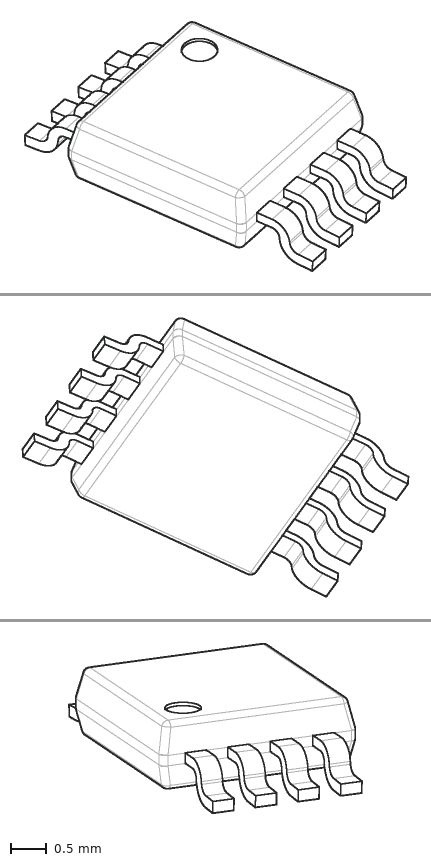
import cadquery as cq
import math


OVERALL_LENGTH = 4.9
STANDOFF = 0.07

HOUSING_SIDE = 3.0
LOWER_HEIGHT = 0.39
UPPER_HEIGHT = 0.455
DRAFT_ANGLE = 12.0
EDGE_RADIUS = 0.1

LEADS_PER_SIDE = 4
LEAD_PITCH = 0.65
LEAD_WIDTH = 0.325
SHOULDER_THICKNESS = 0.15
SHOULDER_LENGTH = 0.255
LEAD_THICKNESS = 0.175
KNEE_OUTER_RADIUS = 0.305
HEEL_INNER_RADIUS = 0.15
SHIN_ANGLE = 81.0
FOOT_ANGLE = 3.0

MARKER_DIAMETER = 0.505
MARKER_INSET = 0.6
MARKER_SUNK_DEPTH = 0.05
MARKER_THICKNESS = 0.05

BAND_BOTTOM = STANDOFF + LOWER_HEIGHT
BAND_TOP = BAND_BOTTOM + SHOULDER_THICKNESS
HOUSING_TOP = BAND_TOP + UPPER_HEIGHT
MARKER_TOP = HOUSING_TOP - MARKER_SUNK_DEPTH
MARKER_BOTTOM = MARKER_TOP - MARKER_THICKNESS
MARKER_CENTER = (MARKER_INSET - HOUSING_SIDE / 2, HOUSING_SIDE / 2 - MARKER_INSET)

TOE_RISE = LEAD_THICKNESS * math.cos(math.radians(FOOT_ANGLE))
TOE_SETBACK = LEAD_THICKNESS * math.sin(math.radians(FOOT_ANGLE))
TOE_UPPER = (OVERALL_LENGTH / 2, TOE_RISE)
TOE_LOWER = (OVERALL_LENGTH / 2 - TOE_SETBACK, 0.0)


def housing_slab(bottom, height, draft=0.0):
    """Square slab of the housing; a negative height extrudes downwards."""
    return cq.Workplane().workplane(offset=bottom).rect(HOUSING_SIDE, HOUSING_SIDE).extrude(height, taper=draft)


def marker_cylinder(bottom, top):
    """Upright cylinder at the pin-1 corner."""
    base = cq.Workplane().workplane(offset=bottom).center(*MARKER_CENTER)
    return base.circle(MARKER_DIAMETER / 2).extrude(top - bottom)


def make_housing():
    """Housing with rounded corners and rims, and a round recess for the marker."""
    band = housing_slab(BAND_BOTTOM, SHOULDER_THICKNESS)
    upper = housing_slab(BAND_TOP, UPPER_HEIGHT, DRAFT_ANGLE)
    lower = housing_slab(BAND_BOTTOM, -LOWER_HEIGHT, DRAFT_ANGLE)
    body = band.union(upper).union(lower)
    body = body.edges("not #Z").fillet(EDGE_RADIUS)
    body = body.faces("<Z or >Z").edges().fillet(EDGE_RADIUS)
    return body.cut(marker_cylinder(MARKER_BOTTOM, HOUSING_TOP))


def make_marker():
    """Pin-1 marker disc lying on the floor of its recess."""
    return marker_cylinder(MARKER_BOTTOM, MARKER_TOP)


def polar_point(center, radius, angle):
    """XZ point at a radius from a center, with the angle in degrees from +X towards +Z."""
    turn = math.radians(angle)
    return (center[0] + radius * math.cos(turn), center[1] + radius * math.sin(turn))


def bend_points(center, radius, start, end):
    """Start, middle and end points of a bend arc, from its start and end angles."""
    return [polar_point(center, radius, angle) for angle in (start, (start + end) / 2, end)]


def height_above_foot_plane(point):
    """Distance of an XZ point from the plane of the foot's upper face, positive above it."""
    foot = math.radians(FOOT_ANGLE)
    return (point[0] - TOE_UPPER[0]) * math.sin(foot) + (point[1] - TOE_UPPER[1]) * math.cos(foot)


def make_lead(y_center):
    """Gull-wing lead on the +X side: shoulder, knee, shin, heel and foot."""
    knee_inner_radius = KNEE_OUTER_RADIUS - LEAD_THICKNESS
    heel_outer_radius = HEEL_INNER_RADIUS + LEAD_THICKNESS
    knee_x = HOUSING_SIDE / 2 + SHOULDER_LENGTH
    knee_outer_center = (knee_x, BAND_TOP - KNEE_OUTER_RADIUS)
    knee_inner_center = (knee_x, BAND_BOTTOM - knee_inner_radius)

    knee_end = 90 - SHIN_ANGLE
    heel_start = knee_end + 180
    heel_end = 270 - FOOT_ANGLE

    no_shin_center = polar_point(knee_outer_center, KNEE_OUTER_RADIUS + HEEL_INNER_RADIUS, knee_end)
    drop_to_foot = height_above_foot_plane(no_shin_center) - HEEL_INNER_RADIUS
    shin_length = drop_to_foot / math.sin(math.radians(SHIN_ANGLE - FOOT_ANGLE))
    heel_center = polar_point(no_shin_center, shin_length, -SHIN_ANGLE)

    knee_outer = bend_points(knee_outer_center, KNEE_OUTER_RADIUS, 90, knee_end)
    knee_inner = bend_points(knee_inner_center, knee_inner_radius, 90, knee_end)
    heel_inner = bend_points(heel_center, HEEL_INNER_RADIUS, heel_start, heel_end)
    heel_outer = bend_points(heel_center, heel_outer_radius, heel_start, heel_end)

    profile = (
        cq.Workplane("XZ", origin=(0, y_center + LEAD_WIDTH / 2, 0))
        .moveTo(HOUSING_SIDE / 2, BAND_TOP)
        .lineTo(*knee_outer[0])
        .threePointArc(*knee_outer[1:])
        .lineTo(*heel_inner[0])
        .threePointArc(*heel_inner[1:])
        .lineTo(*TOE_UPPER)
        .lineTo(*TOE_LOWER)
        .lineTo(*heel_outer[2])
        .threePointArc(heel_outer[1], heel_outer[0])
        .lineTo(*knee_inner[2])
        .threePointArc(knee_inner[1], knee_inner[0])
        .lineTo(HOUSING_SIDE / 2, BAND_BOTTOM)
        .close()
    )
    return profile.extrude(LEAD_WIDTH)


def make_leads():
    """Solids of both rows of leads, the -X row mirroring the +X row."""
    leads = []
    for index in range(LEADS_PER_SIDE):
        lead = make_lead((index - (LEADS_PER_SIDE - 1) / 2) * LEAD_PITCH)
        leads.append(lead.val())
        leads.append(lead.mirror("YZ").val())
    return leads


housing = make_housing()
marker = make_marker()
leads = make_leads()

result = cq.Compound.makeCompound([housing.val(), marker.val(), *leads])